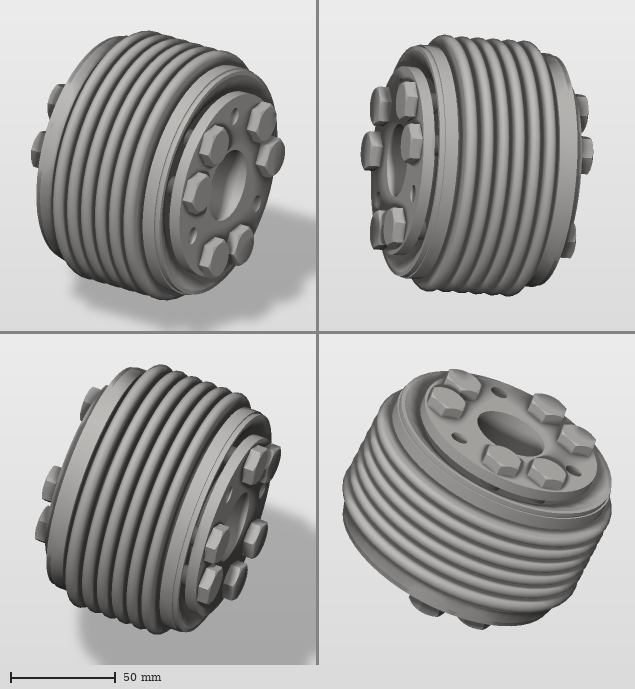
import cadquery as cq
import math

rim_inner_x = 25.3
rim_outer_x = 31.5
hub_face_x = 34.1
disc_back_x = 33.8
disc_face_x = 39.3
overall_length = 90.7
rim_diameter = 111.6
step_diameter = 110.0
disc_diameter = 90.0
sleeve_diameter = 55.5
bore_diameter = 35.0

recess_mouth_diameter = 106.1
recess_floor_diameter = 81.0
recess_floor_x = 28.2

root_radius = 47.9
fin_outer_radius = 61.2
end_fin_outer_radius = 61.4
fin_width = 5.0
end_fin_width = 5.6
fin_pitch = 7.7
first_fin_x = -19.8
end_fin_x = 19.5
regular_fin_count = 5

bolt_circle_radius = 35.0
position_count = 9
first_position_angle = 20.0
positions_per_group = 3
hole_place_in_group = 2
jacking_hole_diameter = 8.5
shank_diameter = 10.0
washer_face_diameter = 15.5
washer_face_height = 0.4
head_across_flats = 17.0
head_face_diameter = 16.7
head_chamfer_angle = 30.0
left_head_turn = -21.0
right_head_turn = 0.0

head_across_corners = head_across_flats / math.cos(math.radians(30))
head_start_x = disc_face_x + washer_face_height
head_end_x = overall_length / 2


def cylinder(diameter, x_start, x_end):
    """Cylinder around the X axis."""
    return cq.Workplane("YZ", origin=(x_start, 0, 0)).circle(diameter / 2).extrude(x_end - x_start)


def ring_positions(holes):
    """(Y, Z) of the jacking holes or of the bolts: every third place is a hole."""
    places = []
    for index in range(position_count):
        if (index % positions_per_group == hole_place_in_group) == holes:
            angle = math.radians(first_position_angle + index * 360 / position_count)
            places.append((-bolt_circle_radius * math.cos(angle), bolt_circle_radius * math.sin(angle)))
    return places


def make_bellows():
    """Solid of revolution with round-tipped fins and round-bottomed grooves."""
    fins = [
        (first_fin_x + index * fin_pitch, fin_width, fin_outer_radius)
        for index in range(regular_fin_count)
    ]
    fins.append((end_fin_x, end_fin_width, end_fin_outer_radius))
    groove_starts = [-rim_inner_x] + [center + width / 2 for center, width, _ in fins]
    groove_ends = [center - width / 2 for center, width, _ in fins] + [rim_inner_x]

    outline = cq.Workplane("XY").moveTo(-rim_inner_x, 0)
    for index, (start, end) in enumerate(zip(groove_starts, groove_ends)):
        top_radius = root_radius + (end - start) / 2
        outline = outline.lineTo(start, top_radius)
        outline = outline.threePointArc(((start + end) / 2, root_radius), (end, top_radius))
        if index < len(fins):
            center, width, outer_radius = fins[index]
            shoulder_radius = outer_radius - width / 2
            outline = outline.lineTo(end, shoulder_radius)
            outline = outline.threePointArc((center, outer_radius), (center + width / 2, shoulder_radius))
    outline = outline.lineTo(rim_inner_x, 0).close()
    return outline.revolve(360, (0, 0, 0), (1, 0, 0))


def make_hub():
    """+X hub: rim, step and conical recess, with the clamping disc on its sleeve."""
    hub = cylinder(rim_diameter, rim_inner_x, rim_outer_x)
    hub = hub.union(cylinder(step_diameter, rim_outer_x, hub_face_x))
    recess = (
        cq.Workplane("XY")
        .moveTo(recess_floor_x, 0)
        .lineTo(recess_floor_x, recess_floor_diameter / 2)
        .lineTo(hub_face_x, recess_mouth_diameter / 2)
        .lineTo(hub_face_x, 0)
        .close()
        .revolve(360, (0, 0, 0), (1, 0, 0))
    )
    sleeve = cylinder(sleeve_diameter, recess_floor_x, disc_back_x)
    disc = cylinder(disc_diameter, disc_back_x, disc_face_x)
    jacking_holes = (
        cq.Workplane("YZ", origin=(disc_back_x, 0, 0))
        .pushPoints(ring_positions(holes=True))
        .circle(jacking_hole_diameter / 2)
        .extrude(disc_face_x - disc_back_x)
    )
    return hub.cut(recess).union(sleeve).union(disc).cut(jacking_holes)


def make_bolt(head_turn):
    """Bolt along +X on the axis: shank across the gap, washer face, chamfered hexagon head."""
    head_height = head_end_x - head_start_x
    head = (
        cq.Workplane("YZ", origin=(head_start_x, 0, 0))
        .polygon(6, head_across_corners)
        .extrude(head_height)
        .rotate((0, 0, 0), (1, 0, 0), head_turn)
    )
    corner_radius = head_across_corners / 2
    face_radius = head_face_diameter / 2
    chamfer_height = (corner_radius - face_radius) * math.tan(math.radians(head_chamfer_angle))
    envelope = (
        cq.Workplane("XY")
        .moveTo(head_start_x, 0)
        .lineTo(head_start_x, corner_radius)
        .lineTo(head_end_x - chamfer_height, corner_radius)
        .lineTo(head_end_x, face_radius)
        .lineTo(head_end_x, 0)
        .close()
        .revolve(360, (0, 0, 0), (1, 0, 0))
    )
    shank = cylinder(shank_diameter, recess_floor_x, disc_face_x)
    washer_face = cylinder(washer_face_diameter, disc_face_x, head_start_x)
    return head.intersect(envelope).union(washer_face).union(shank)


def make_end(head_turn):
    """+X hub with its ring of bolts."""
    end = make_hub()
    bolt = make_bolt(head_turn)
    for y, z in ring_positions(holes=False):
        end = end.union(bolt.translate((0, y, z)))
    return end


right_end = make_end(right_head_turn)
left_end = make_end(left_head_turn).mirror("YZ")
bore = cylinder(bore_diameter, -disc_face_x, disc_face_x)
result = make_bellows().union(right_end).union(left_end).cut(bore)